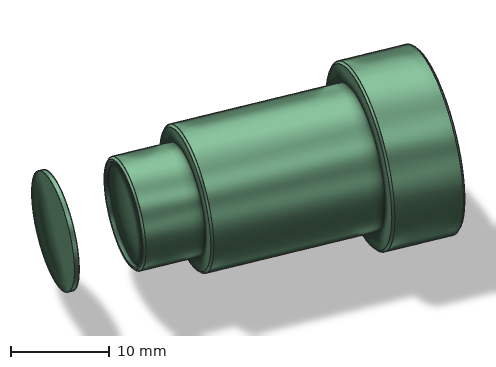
import cadquery as cq

total_length = 40.95

head_diameter = 20.0
head_length = 7.9
shank_diameter = 15.6
shank_length = 18.75
tip_diameter = 12.0
tip_length = 6.67
edge_chamfer = 0.25

rim_width = 0.25
recess_diameter = tip_diameter - 2 * (edge_chamfer + rim_width)
recess_depth = 0.5

disc_diameter = 12.7
disc_thickness = 0.55


def cylinder_toward_back(diameter, front_y, length):
    """Cylinder on the Y axis, running from front_y toward +Y."""
    return (
        cq.Workplane("XZ", origin=(0, front_y, 0))
        .circle(diameter / 2)
        .extrude(-length)
    )


def make_stepped_pin():
    """Head, shank and tip in one solid, with broken outer edges."""
    head_front = total_length - head_length
    shank_front = head_front - shank_length
    tip_front = shank_front - tip_length

    head = cylinder_toward_back(head_diameter, head_front, head_length)
    head = head.edges("%CIRCLE").chamfer(edge_chamfer)
    shank = cylinder_toward_back(shank_diameter, shank_front, shank_length)
    shank = shank.faces("<Y").chamfer(edge_chamfer)
    tip = cylinder_toward_back(tip_diameter, tip_front, tip_length)
    tip = tip.faces("<Y").chamfer(edge_chamfer)
    recess = cylinder_toward_back(recess_diameter, tip_front, recess_depth)
    return head.union(shank).union(tip).cut(recess)


def make_disc():
    """Thin plain disc whose front face lies at Y = 0."""
    return cylinder_toward_back(disc_diameter, 0, disc_thickness)


stepped_pin = make_stepped_pin()
disc = make_disc()

result = cq.Compound.makeCompound([stepped_pin.val(), disc.val()])